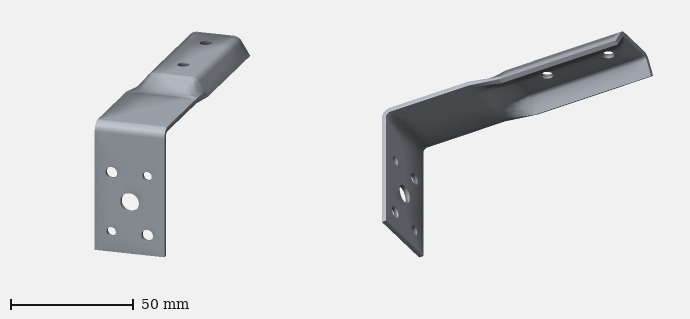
import cadquery as cq
import math

width = 30.0
length = 111.0
height = 59.0
sheet = 2.0

channel_depth = 9.0
channel_length = 55.0
leg_angle = 58.0
bend_inner_radius = sheet
bend_outer_radius = bend_inner_radius + sheet

transition_length = 15.0
plate_drop = 4.0

screw_diameter = 5.0
pilot_diameter = 4.0
centre_diameter = 8.0
web_hole_from_end = 12.4
web_hole_spacing = 29.0
centre_hole_z = 22.0
left_hole_x = -7.9
right_hole_x = 7.5
upper_hole_z = 34.0
lower_hole_z = 8.5

channel_start_y = length - channel_length
plate_end_y = channel_start_y - transition_length
plate_top_z = height - plate_drop
plate_bottom_z = plate_top_z - sheet
slope_sin = math.sin(math.radians(leg_angle))
slope_cos = math.cos(math.radians(leg_angle))

line_steps = 8
bend_steps = 8


def section_plane(y):
    """XZ plane at the given Y, with its normal along -Y."""
    return cq.Workplane("XZ", origin=(0, y, 0))


def mirrored(point):
    return -point[0], point[1]


toe = (width / 2, height - channel_depth + sheet * slope_cos)
tip = (width / 2 - sheet * slope_sin, height - channel_depth)
bend_centre_z = height - bend_outer_radius
leg_rise = bend_centre_z + bend_outer_radius * slope_cos - toe[1]
bend_centre_x = toe[0] - leg_rise * slope_cos / slope_sin - bend_outer_radius * slope_sin


def bend_point(radius, fraction):
    """Point on the channel bend: fraction 0 is at the web, 1 is at the leg."""
    turn = math.radians(leg_angle) * fraction
    return bend_centre_x + radius * math.sin(turn), bend_centre_z + radius * math.cos(turn)


def channel_profile(y):
    """Closed outline of the bent sheet, with leg ends square to the legs."""
    outer_web, outer_middle, outer_leg = [bend_point(bend_outer_radius, f) for f in (0, 0.5, 1)]
    inner_web, inner_middle, inner_leg = [bend_point(bend_inner_radius, f) for f in (0, 0.5, 1)]
    return (
        section_plane(y)
        .moveTo(*mirrored(toe))
        .lineTo(*mirrored(outer_leg))
        .threePointArc(mirrored(outer_middle), mirrored(outer_web))
        .lineTo(*outer_web)
        .threePointArc(outer_middle, outer_leg)
        .lineTo(*toe)
        .lineTo(*tip)
        .lineTo(*inner_leg)
        .threePointArc(inner_middle, inner_web)
        .lineTo(*mirrored(inner_web))
        .threePointArc(mirrored(inner_middle), mirrored(inner_leg))
        .lineTo(*mirrored(tip))
        .close()
    )


def make_channel():
    body = channel_profile(length).extrude(channel_length)
    first_hole_y = length - web_hole_from_end
    holes = (
        cq.Workplane("XY")
        .pushPoints([(0, first_hole_y), (0, first_hole_y - web_hole_spacing)])
        .circle(screw_diameter / 2)
        .extrude(height)
    )
    return body.cut(holes)


def sheet_curve(leg_point, radius):
    """Points along one sheet surface, from leg_point on the +X leg over to the -X leg."""
    bend = [bend_point(radius, 1 - step / bend_steps) for step in range(bend_steps + 1)]
    leg = along_line(leg_point, bend[0])
    web_half = along_line(bend[-1], (0, bend[-1][1]))
    half = leg + bend[:-1] + web_half
    web_middle = (0, bend[-1][1])
    return half + [web_middle] + [mirrored(point) for point in reversed(half)]


def along_line(start, end):
    """Evenly spaced points from start up to, but not including, end."""
    return [
        (
            start[0] + (end[0] - start[0]) * step / line_steps,
            start[1] + (end[1] - start[1]) * step / line_steps,
        )
        for step in range(line_steps)
    ]


def make_transition():
    """Ruled loft that flattens the channel section into the plate section."""
    strip_top = (toe[0] - sheet * slope_cos / slope_sin, toe[1] + sheet)
    outer_curve = sheet_curve(strip_top, bend_outer_radius)
    inner_curve = sheet_curve(tip, bend_inner_radius)
    bent_section = (
        section_plane(channel_start_y)
        .moveTo(*mirrored(strip_top))
        .spline(outer_curve[-2::-1], includeCurrent=True)
        .lineTo(*toe)
        .lineTo(*tip)
        .spline(inner_curve[1:], includeCurrent=True)
        .lineTo(*mirrored(toe))
        .close()
    )
    flat_section = (
        section_plane(plate_end_y)
        .moveTo(-width / 2, plate_top_z)
        .lineTo(width / 2, plate_top_z)
        .lineTo(width / 2, plate_bottom_z)
        .lineTo(tip[0], plate_bottom_z)
        .lineTo(-tip[0], plate_bottom_z)
        .lineTo(-width / 2, plate_bottom_z)
        .close()
    )
    return cq.Workplane(cq.Solid.makeLoft([bent_section.val(), flat_section.val()], True))


def make_bent_plate():
    bend_end_z = plate_top_z - bend_outer_radius
    diagonal = math.sqrt(0.5)

    def bend_middle(radius):
        return bend_outer_radius - radius * diagonal, bend_end_z + radius * diagonal

    return (
        cq.Workplane("YZ", origin=(-width / 2, 0, 0))
        .moveTo(plate_end_y, plate_top_z)
        .lineTo(bend_outer_radius, plate_top_z)
        .threePointArc(bend_middle(bend_outer_radius), (0, bend_end_z))
        .lineTo(0, 0)
        .lineTo(sheet, 0)
        .lineTo(sheet, bend_end_z)
        .threePointArc(bend_middle(bend_inner_radius), (bend_outer_radius, plate_bottom_z))
        .lineTo(plate_end_y, plate_bottom_z)
        .close()
        .extrude(width)
    )


def upright_holes(diameter, points):
    return section_plane(sheet).pushPoints(points).circle(diameter / 2).extrude(sheet)


def make_angle_arm():
    arm = make_bent_plate().union(make_transition())
    screw_points = [(left_hole_x, upper_hole_z), (right_hole_x, lower_hole_z)]
    pilot_points = [(right_hole_x, upper_hole_z), (left_hole_x, lower_hole_z)]
    arm = arm.cut(upright_holes(screw_diameter, screw_points))
    arm = arm.cut(upright_holes(pilot_diameter, pilot_points))
    return arm.cut(upright_holes(centre_diameter, [(0, centre_hole_z)]))


channel = make_channel()
angle_arm = make_angle_arm()

result = cq.Compound.makeCompound([*channel.solids().vals(), *angle_arm.solids().vals()])